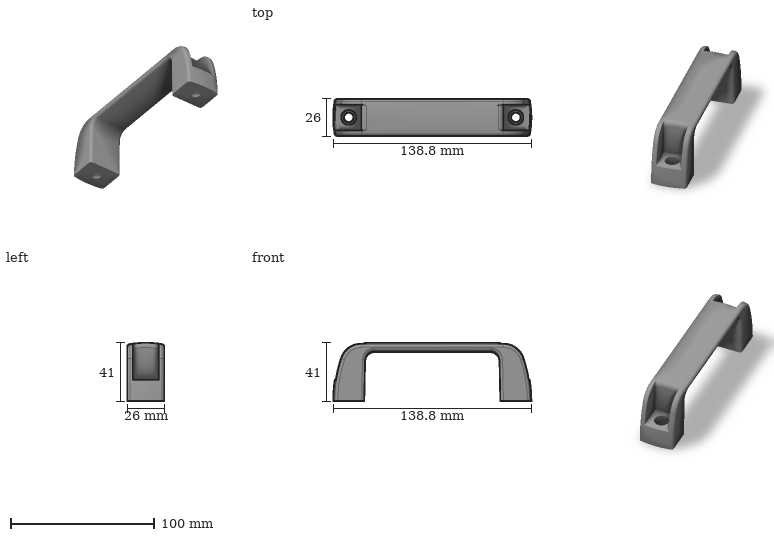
import cadquery as cq
import math

length = 138.8
width = 26.0
height = 41.0
half_length = length / 2
half_width = width / 2

margin = 7.0
tolerance = 0.1

crown_radius = 62.5
shoulder_radius = 15.5
shoulder_x = 49.7
edge_radius = 2.1

grip_underside = 34.1
leg_foot = 21.9
leg_top = 22.6
opening_corner_radius = 6.0

pocket_width = 18.0
pocket_floor = 15.0
pocket_wall_x = 49.5
pocket_inside_radius = 0.5
pocket_rim_radius = 0.4
pocket_roundover = 3.3

hole_x = 58.4
hole_diameter = 6.5
counterbore_diameter = 10.5
counterbore_depth = 9.0

shoulder_z = height - shoulder_radius
leg_run = half_length - shoulder_x - shoulder_radius
leg_arc_offset = (shoulder_z**2 + leg_run**2) / (2 * leg_run)
leg_radius = leg_arc_offset + shoulder_radius
lean = math.asin(shoulder_z / leg_arc_offset)


def shoulder_point(angle):
    """Point on the left shoulder arc, at an angle above the horizontal."""
    return (
        -shoulder_x - shoulder_radius * math.cos(angle),
        shoulder_z + shoulder_radius * math.sin(angle),
    )


def leg_point(angle):
    """Point on the left leg arc, at an angle above the base."""
    return (
        -half_length + leg_radius * (1 - math.cos(angle)),
        leg_radius * math.sin(angle),
    )


def mirrored(point):
    return (-point[0], point[1])


def crest_path():
    """Center line of the outer face, from below the left base to below the right base."""
    leg_middle = leg_point(lean / 2)
    joint = shoulder_point(lean)
    shoulder_middle = shoulder_point((lean + math.pi / 2) / 2)
    top_end = (-shoulder_x, height)
    return (
        cq.Workplane("XZ")
        .moveTo(-half_length, -margin)
        .lineTo(-half_length, 0)
        .threePointArc(leg_middle, joint)
        .threePointArc(shoulder_middle, top_end)
        .lineTo(*mirrored(top_end))
        .threePointArc(mirrored(shoulder_middle), mirrored(joint))
        .threePointArc(mirrored(leg_middle), (half_length, 0))
        .lineTo(half_length, -margin)
    )


def outside_of_crown():
    """Everything outside the crowned outer face."""
    reach = half_width + margin
    sag = crown_radius - math.sqrt(crown_radius**2 - reach**2)
    cutter_depth = shoulder_radius
    section = (
        cq.Workplane("XY", origin=(-half_length, 0, -margin))
        .moveTo(sag, -reach)
        .threePointArc((0, 0), (sag, reach))
        .lineTo(-cutter_depth, reach)
        .lineTo(-cutter_depth, -reach)
        .close()
    )
    return section.sweep(crest_path())


def hand_opening():
    """Space between the legs; its ceiling follows the crowned underside of the grip."""
    ceiling = grip_underside + margin
    draft = (leg_top - leg_foot) / grip_underside
    foot_x = half_length - leg_foot
    ceiling_x = foot_x - draft * ceiling
    opening = (
        cq.Workplane("XZ")
        .polyline([(-foot_x, 0), (-ceiling_x, ceiling), (ceiling_x, ceiling), (foot_x, 0)])
        .close()
        .extrude(half_width + margin, both=True)
    )
    underside = (
        cq.Workplane("YZ")
        .center(0, grip_underside + crown_radius)
        .circle(crown_radius)
        .extrude(half_length, both=True)
    )
    return opening.cut(underside)


def body():
    """Handle without pockets and holes."""
    block = cq.Workplane("XY").box(length, width, height, centered=(True, True, False))
    sharp = block.cut(outside_of_crown()).cut(hand_opening())
    rounded = sharp.edges("%ELLIPSE").fillet(opening_corner_radius)
    return rounded.faces("<Y or >Y").edges("not <Z").fillet(edge_radius)


def edges_near(part, side, x_range, half_y, z_range):
    """Edges centered in a box; distances from the middle plane are measured toward the given side."""
    near, far = x_range
    low = (side * near, -half_y, z_range[0])
    high = (side * far, half_y, z_range[1])
    return part.edges(cq.selectors.BoxSelector(low, high))


def add_pocket(part, side):
    """Cut the screw pocket at one end and round its back wall, inside corners and rim."""
    reach = half_length + margin - pocket_wall_x
    block = (
        cq.Workplane("XY", origin=(side * (pocket_wall_x + reach / 2), 0, pocket_floor))
        .box(reach, pocket_width, height, centered=(True, True, False))
    )
    pocketed = part.cut(block)

    wall_range = (pocket_wall_x - tolerance, pocket_wall_x + tolerance)
    pocket_range = (pocket_wall_x - tolerance, half_length)
    half_y = pocket_width / 2 + tolerance
    roundover_foot = height - pocket_roundover
    above_floor = (pocket_floor + tolerance, roundover_foot)
    at_floor = (pocket_floor - tolerance, pocket_floor + tolerance)

    crown_edge = edges_near(pocketed, side, wall_range, tolerance, (roundover_foot, height))
    rounded = crown_edge.fillet(pocket_roundover)

    corners = edges_near(rounded, side, wall_range, half_y, above_floor).edges("|Z")
    floor_edges = edges_near(rounded, side, pocket_range, half_y, at_floor).edges("%LINE")
    softened = corners.add(floor_edges).fillet(pocket_inside_radius)

    rim_range = (pocket_wall_x + pocket_inside_radius + tolerance, half_length)
    rim_height = (pocket_floor - tolerance, height)
    rim = edges_near(softened, side, rim_range, half_y, rim_height).edges("%BSPLINE")
    return rim.fillet(pocket_rim_radius)


def add_screw_hole(part, side):
    """Drill the counterbored hole through one leg, down from the pocket floor."""
    floor = cq.Workplane("XY", origin=(side * hole_x, 0, pocket_floor))
    hole = floor.circle(hole_diameter / 2).extrude(-pocket_floor)
    counterbore = floor.circle(counterbore_diameter / 2).extrude(-counterbore_depth)
    return part.cut(hole).cut(counterbore)


result = body()
for side in (-1, 1):
    result = add_pocket(result, side)
    result = add_screw_hole(result, side)